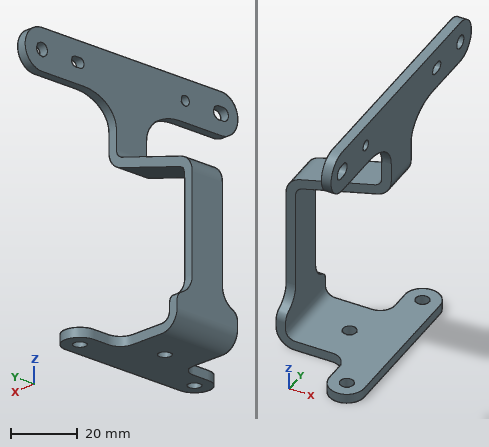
import cadquery as cq
import math

thickness = 3.3
bend_outer = 6.4
bend_inner = bend_outer - thickness
arm_angle = math.radians(15)
height = 99.0
plate_outer_x = 35.7
lower_bend_z = 52.2

head_length = 89.0
head_height = 14.2
head_z = height - head_height / 2
head_bottom = height - head_height
large_hole = 4.5
small_hole = 3.4
outer_hole_y = (head_length - head_height) / 2
inner_hole_y = 22.5
large_slot_length = 6.1
small_slot_length = 5.1

strap_half = 6.3
flare_width = 13.9
flare_height = 10.2
foot_half = 12.7
foot_shoulder_z = 9.0
strap_start_z = 18.7
shoulder_radius = 3.5

base_length = 36.0
ear_radius = 5.9
ear_hole_y = 24.0
ear_fillet = 5.0
ear_hole_x = base_length - ear_radius
center_hole_x = 18.2
base_hole = 4.5


def bent_sheet():
    """Side profile of the bent sheet, extruded to the head length."""
    slope = math.tan(arm_angle)
    bend_turn = math.pi / 2 - arm_angle
    bend_setback = math.tan(bend_turn / 2)
    inside_setback = thickness * bend_setback
    top_z = lower_bend_z + bend_outer * bend_setback
    under_z = top_z - inside_setback
    upper_inside_x = plate_outer_x - thickness
    upper_inside_z = top_z + upper_inside_x * slope
    upper_outside_z = upper_inside_z - inside_setback

    outer_corners = [(0, 0), (0, top_z), (plate_outer_x, upper_outside_z)]
    inner_corners = [(thickness, thickness), (thickness, under_z), (upper_inside_x, upper_inside_z)]
    lower_outer, middle_outer, upper_outer = outer_corners
    lower_inner, middle_inner, upper_inner = inner_corners
    outline = [
        (base_length, 0),
        lower_outer,
        middle_outer,
        upper_inner,
        (upper_inside_x, height),
        (plate_outer_x, height),
        upper_outer,
        middle_inner,
        lower_inner,
        (base_length, thickness),
    ]
    sheet = cq.Workplane("XZ").polyline(outline).close().extrude(head_length / 2, both=True)
    for corners, radius in ((outer_corners, bend_outer), (inner_corners, bend_inner)):
        for x, z in corners:
            edge = cq.selectors.NearestToPointSelector((x, 0, z))
            sheet = sheet.edges("|Y").edges(edge).fillet(radius)
    return sheet


def half_strap():
    """Strap outline on the +Y side, with its foot shoulder and elliptical flare."""
    shoulder_width = foot_half - strap_half
    shoulder_height = strap_start_z - foot_shoulder_z
    turn = 2 * math.atan2(shoulder_width, shoulder_height)
    neck_radius = shoulder_height / math.sin(turn) - shoulder_radius
    meet_y = foot_half - shoulder_radius * (1 - math.cos(turn))
    meet_z = foot_shoulder_z + shoulder_radius * math.sin(turn)
    convex_mid = (
        foot_half - shoulder_radius * (1 - math.cos(turn / 2)),
        foot_shoulder_z + shoulder_radius * math.sin(turn / 2),
    )
    concave_mid = (
        strap_half + neck_radius * (1 - math.cos(turn / 2)),
        strap_start_z - neck_radius * math.sin(turn / 2),
    )
    flare = (
        cq.Workplane("YZ")
        .center(strap_half + flare_width, head_bottom - flare_height)
        .ellipse(flare_width, flare_height)
        .extrude(base_length)
    )
    return (
        cq.Workplane("YZ")
        .lineTo(foot_half, 0)
        .lineTo(foot_half, foot_shoulder_z)
        .threePointArc(convex_mid, (meet_y, meet_z))
        .threePointArc(concave_mid, (strap_half, strap_start_z))
        .lineTo(strap_half, head_bottom - flare_height)
        .lineTo(strap_half + flare_width, head_bottom - flare_height)
        .lineTo(strap_half + flare_width, head_z)
        .lineTo(0, head_z)
        .close()
        .extrude(base_length)
        .cut(flare)
    )


def head_openings():
    """Two round holes and two slots through the head plate."""
    plane = cq.Workplane("YZ")
    openings = plane.center(outer_hole_y, head_z).circle(large_hole / 2).extrude(base_length)
    small = plane.center(-inner_hole_y, head_z).circle(small_hole / 2).extrude(base_length)
    openings = openings.union(small)
    slots = (
        (-outer_hole_y, large_slot_length, large_hole),
        (inner_hole_y, small_slot_length, small_hole),
    )
    for y, length, width in slots:
        openings = openings.union(plane.center(y, head_z).slot2D(length, width).extrude(base_length))
    return openings


def base_ears():
    """Crossbar with rounded ends, blended into the base strip."""
    bar_length = 2 * (ear_hole_y + ear_radius)
    bar = (
        cq.Workplane("XY")
        .center(ear_hole_x, 0)
        .slot2D(bar_length, 2 * ear_radius, 90)
        .extrude(thickness)
    )
    strip = (
        cq.Workplane("XY")
        .center((bend_outer + ear_hole_x) / 2, 0)
        .rect(ear_hole_x - bend_outer, 2 * foot_half)
        .extrude(thickness)
    )
    base = bar.union(strip)
    for side in (-1, 1):
        corner = (ear_hole_x - ear_radius, side * foot_half, thickness / 2)
        base = base.edges("|Z").edges(cq.selectors.NearestToPointSelector(corner)).fillet(ear_fillet)
    return base


head = (
    cq.Workplane("YZ")
    .center(0, head_z)
    .slot2D(head_length, head_height)
    .extrude(base_length)
)
strap = half_strap()
silhouette = head.union(strap).union(strap.mirror("XZ"))
bracket = bent_sheet().intersect(silhouette).cut(head_openings()).union(base_ears())
base_holes = (
    cq.Workplane("XY")
    .pushPoints([(center_hole_x, 0), (ear_hole_x, -ear_hole_y), (ear_hole_x, ear_hole_y)])
    .circle(base_hole / 2)
    .extrude(thickness)
)
result = bracket.cut(base_holes)